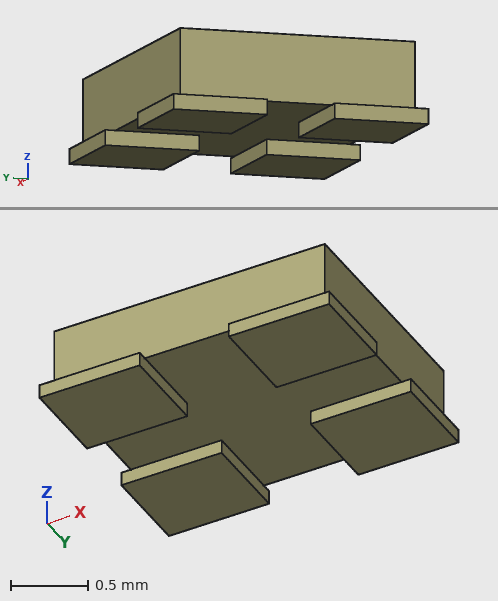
import cadquery as cq

overall_length = 2.14
overall_width = 1.74
overall_height = 0.55

body_length = 2.0
body_width = 1.6

pad_length = 0.74
pad_width = 0.64
pad_thickness = 0.1


def make_body():
    """Rectangular block resting on top of the pads."""
    body_height = overall_height - pad_thickness
    return (
        cq.Workplane("XY")
        .workplane(offset=pad_thickness)
        .rect(body_length, body_width)
        .extrude(body_height)
    )


def make_pad(x_side, y_side):
    """Flat pad at one corner of the footprint; each side is -1 or +1."""
    x_center = x_side * (overall_length - pad_length) / 2
    y_center = y_side * (overall_width - pad_width) / 2
    return (
        cq.Workplane("XY")
        .center(x_center, y_center)
        .rect(pad_length, pad_width)
        .extrude(pad_thickness)
    )


body = make_body()
pads = [make_pad(x_side, y_side) for x_side in (-1, 1) for y_side in (-1, 1)]

result = cq.Compound.makeCompound([body.val(), *[pad.val() for pad in pads]])